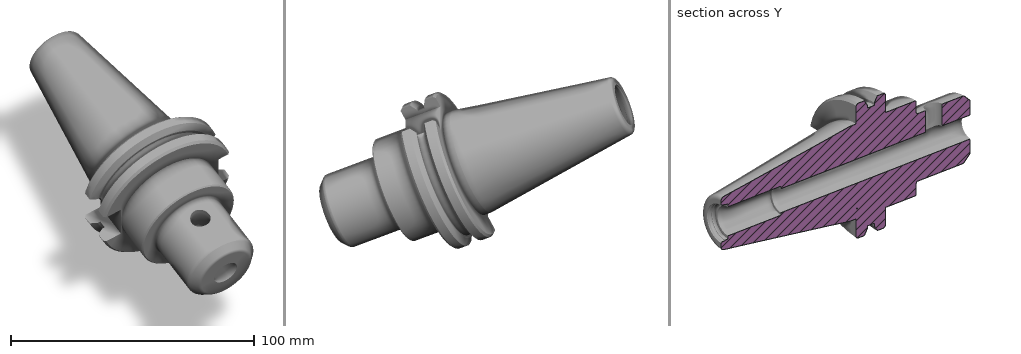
import cadquery as cq
import math

total_length = 131.8
taper_end_x = 68.1
flange_start_x = 71.3
flange_end_x = 87.1
shoulder_x = 103.3

taper_small_radius = 12.4
shoulder_radius = 44.8 / 2
flange_radius = 63.5 / 2
neck_radius = 31.9 / 2

taper_end_round = 1.8
flange_chamfer = 0.9
shoulder_chamfer = 0.5
neck_root_round = 0.7
nose_chamfer = 3.5
nose_round = 1.7

groove_center_x = (flange_start_x + flange_end_x) / 2
groove_floor_radius = 27.8
groove_step_radius = 29.0
groove_floor_half_width = 1.7
groove_wall_angle = 30.0

slot_width = 16.9
slot_floor_front = 22.5
slot_floor_back = 24.9

through_bore_diameter = 11.1
bore_steps = [(16.9, 2.1), (16.3, 3.7), (13.5, 31.6)]
mouth_chamfer = 0.4

cross_hole_diameter = 8.4
cross_hole_x = 112.5


def cylinder_along_x(radius, start, end):
    return cq.Workplane("YZ").workplane(offset=start).circle(radius).extrude(end - start)


def turned_body():
    taper = (
        cq.Workplane("XY")
        .polyline([(0, 0), (0, taper_small_radius), (taper_end_x, shoulder_radius), (taper_end_x, 0)])
        .close()
        .revolve(360, (0, 0, 0), (1, 0, 0))
        .faces("<X").edges().fillet(taper_end_round)
    )
    shoulder = cylinder_along_x(shoulder_radius, taper_end_x, shoulder_x).faces(">X").chamfer(shoulder_chamfer)
    neck = (
        cylinder_along_x(neck_radius, shoulder_x, total_length)
        .faces(">X").chamfer(nose_chamfer)
    )
    nose_edges = cq.selectors.BoxSelector(
        (total_length - 2 * nose_chamfer, -neck_radius, -neck_radius),
        (total_length + nose_chamfer, neck_radius, neck_radius),
    )
    neck = neck.edges("%CIRCLE").edges(nose_edges).fillet(nose_round)
    root_ring = (
        cq.Workplane("XY")
        .moveTo(shoulder_x, neck_radius)
        .lineTo(shoulder_x + neck_root_round, neck_radius)
        .radiusArc((shoulder_x, neck_radius + neck_root_round), neck_root_round)
        .close()
        .revolve(360, (0, 0, 0), (1, 0, 0))
    )
    return taper.union(shoulder).union(neck).union(root_ring)


def flange():
    disc = cylinder_along_x(flange_radius, flange_start_x, flange_end_x)
    return disc.faces("<X or >X").edges().chamfer(flange_chamfer)


def flange_groove():
    wall_run = (flange_radius - groove_step_radius) * math.tan(math.radians(groove_wall_angle))
    mouth_half_width = groove_floor_half_width + wall_run
    half_outline = [
        (groove_floor_half_width, groove_floor_radius),
        (groove_floor_half_width, groove_step_radius),
        (mouth_half_width, flange_radius),
    ]
    mirrored = [(-x, radius) for x, radius in reversed(half_outline)]
    outline = [(groove_center_x + x, radius) for x, radius in half_outline + mirrored]
    return cq.Workplane("XY").polyline(outline).close().revolve(360, (0, 0, 0), (1, 0, 0))


def drive_slot(side, floor):
    slot_depth = flange_radius - floor
    return (
        cq.Workplane("XY")
        .box(flange_end_x - flange_start_x, slot_depth, slot_width)
        .translate((groove_center_x, side * (floor + slot_depth / 2), 0))
    )


def bore():
    cutter = cylinder_along_x(through_bore_diameter / 2, 0, total_length)
    for diameter, depth in bore_steps:
        cutter = cutter.union(cylinder_along_x(diameter / 2, 0, depth))
    mouth_radius = bore_steps[0][0] / 2 + mouth_chamfer
    mouth = cylinder_along_x(mouth_radius, 0, 2 * mouth_chamfer).faces(">X").chamfer(mouth_chamfer)
    return cutter.union(mouth)


def cross_hole():
    return (
        cq.Workplane("XY")
        .center(cross_hole_x, 0)
        .circle(cross_hole_diameter / 2)
        .extrude(neck_radius)
    )


result = (
    turned_body()
    .union(flange())
    .cut(flange_groove())
    .cut(drive_slot(-1, slot_floor_front))
    .cut(drive_slot(1, slot_floor_back))
    .cut(bore())
    .cut(cross_hole())
)